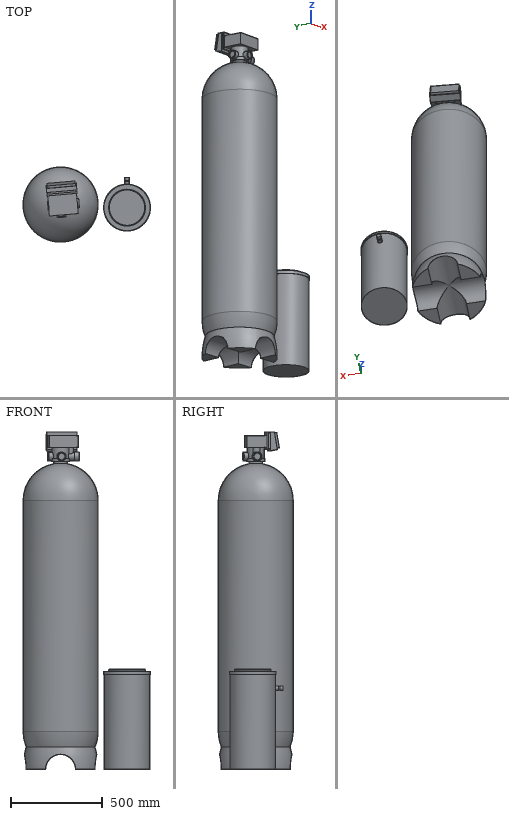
import cadquery as cq
import math

TANK_RADIUS = 205.2
SKIRT_TOP_RADIUS = 188.0
SKIRT_HEIGHT = 121.0
BARREL_BOTTOM = 206.0
BARREL_TOP = 1465.0
ARCH_RADIUS = 81.0

NECK_DIAMETER = 75.0
RING_DIAMETER = 100.0
VALVE_DIAMETER = 94.0
RING_BOTTOM = 1679.0
RING_TOP = 1695.0

HEAD_TURN = 5.0

PORT_HEIGHT = 1706.0
COLLAR_DIAMETER = 52.0
PORT_PIPE_DIAMETER = 48.0
PORT_BORE_DIAMETER = 37.0
PORT_BORE_DEPTH = 5.0
LEFT_PORT_REACH = 70.0
FRONT_PORT_REACH = 70.0
RIGHT_PORT_REACH = 101.0
RIGHT_COLLAR_LENGTH = 28.0
PLUG_DIAMETER = 39.0
PLUG_OFFSET = 52.0

HEAD_CENTRE_X = 13.0
BOX_WIDTH = 158.0
BOX_FRONT = -57.0
BOX_BACK = 53.0
BOX_BOTTOM = 1756.0
BOX_TOP = 1820.0

TOTAL_HEIGHT = 1840.0
PANEL_WIDTH = 165.0
PLATE_THICKNESS = 10.0
PLATE_BOTTOM = 1745.0
GROOVE_WIDTH = 10.0
GROOVE_DEPTH = 5.0
HOUSING_BOTTOM = 1735.0
HOUSING_DEPTH_TOP = 22.0
HOUSING_DEPTH_BOTTOM = 39.0
HOUSING_LIP_BOTTOM = 1743.0
BEZEL_THICKNESS = 13.0
BEZEL_INSET = 5.0
BEZEL_LENGTH = 85.0

BRINE_X = 363.0
BRINE_Y = -17.0
BRINE_DIAMETER = 250.0
LID_DIAMETER = 255.0
LID_DISC_DIAMETER = 200.0
LID_BOTTOM = 517.0
LID_TOP = 534.0
LID_DISC_TOP = 547.0
LID_DISC_CHAMFER = 4.0
FITTING_HEIGHT = 442.0
FITTING_REACH = 165.0
FITTING_NUT_DIAMETER = 25.0
FITTING_NUT_LENGTH = 17.0
TUBE_DIAMETER = 20.0


def inward_arc_midpoint(outer_radius, end_radius, start_z, end_z):
    """Midpoint of an arc that leaves a vertical wall tangentially and leans in to end_radius."""
    rise = end_z - start_z
    lean = outer_radius - end_radius
    arc_radius = (rise**2 + lean**2) / (2 * lean)
    half_angle = math.asin(abs(rise) / arc_radius) / 2
    middle_radius = outer_radius - arc_radius * (1 - math.cos(half_angle))
    middle_z = start_z + math.copysign(arc_radius * math.sin(half_angle), rise)
    return middle_radius, middle_z


def cylinder_between(start, direction, diameter, length):
    return cq.Workplane(cq.Solid.makeCylinder(diameter / 2, length, cq.Vector(*start), cq.Vector(*direction)))


def make_pressure_tank():
    skirt_middle = inward_arc_midpoint(TANK_RADIUS, SKIRT_TOP_RADIUS, 0, SKIRT_HEIGHT)
    bowl_middle = inward_arc_midpoint(TANK_RADIUS, SKIRT_TOP_RADIUS, BARREL_BOTTOM, SKIRT_HEIGHT)
    dome_step = TANK_RADIUS * math.sin(math.radians(45))
    tank = (
        cq.Workplane("XZ")
        .lineTo(TANK_RADIUS, 0)
        .threePointArc(skirt_middle, (SKIRT_TOP_RADIUS, SKIRT_HEIGHT))
        .threePointArc(bowl_middle, (TANK_RADIUS, BARREL_BOTTOM))
        .lineTo(TANK_RADIUS, BARREL_TOP)
        .threePointArc((dome_step, BARREL_TOP + dome_step), (0, BARREL_TOP + TANK_RADIUS))
        .close()
        .revolve(360, (0, 0, 0), (0, 1, 0))
    )
    for direction in [(1, 0, 0), (0, 1, 0)]:
        start = [-2 * TANK_RADIUS * component for component in direction]
        tank = tank.cut(cylinder_between(start, direction, 2 * ARCH_RADIUS, 4 * TANK_RADIUS))
    return tank


def make_valve_body():
    neck = cylinder_between((0, 0, BARREL_TOP), (0, 0, 1), NECK_DIAMETER, RING_TOP - BARREL_TOP)
    ring = cylinder_between((0, 0, RING_BOTTOM), (0, 0, 1), RING_DIAMETER, RING_TOP - RING_BOTTOM)
    body = cylinder_between((0, 0, RING_BOTTOM), (0, 0, 1), VALVE_DIAMETER, BOX_BOTTOM - RING_BOTTOM)
    return neck.union(ring).union(body)


def add_port(valve, direction, reach, collar_length=0):
    """Port from the valve axis: a pipe with a shallow bore, and a wider collar at its end if asked for."""
    def along(distance):
        return distance * direction[0], distance * direction[1], PORT_HEIGHT

    valve = valve.union(cylinder_between(along(0), direction, PORT_PIPE_DIAMETER, reach))
    if collar_length:
        collar_start = along(reach - collar_length)
        valve = valve.union(cylinder_between(collar_start, direction, COLLAR_DIAMETER, collar_length))
    bore_start = along(reach - PORT_BORE_DEPTH)
    return valve.cut(cylinder_between(bore_start, direction, PORT_BORE_DIAMETER, PORT_BORE_DEPTH))


def make_control_box():
    return cq.Workplane("XY").box(
        BOX_WIDTH, BOX_BACK - BOX_FRONT, BOX_TOP - BOX_BOTTOM, centered=(True, False, False)
    ).translate((HEAD_CENTRE_X, BOX_FRONT, BOX_BOTTOM))


def extrude_across_head(outline, width):
    """Extrude a closed (Y, Z) outline along X, centred on the head."""
    start_x = HEAD_CENTRE_X - width / 2
    return cq.Workplane("YZ", origin=(start_x, 0, 0)).polyline(outline).close().extrude(width)


def make_display_housing():
    groove_y = BOX_BACK + PLATE_THICKNESS
    housing_y = groove_y + GROOVE_WIDTH
    face_top = (housing_y + HOUSING_DEPTH_TOP, TOTAL_HEIGHT)
    face_bottom = (housing_y + HOUSING_DEPTH_BOTTOM, HOUSING_LIP_BOTTOM)
    plate = extrude_across_head(
        [(BOX_BACK, PLATE_BOTTOM), (groove_y, PLATE_BOTTOM), (groove_y, TOTAL_HEIGHT), (BOX_BACK, TOTAL_HEIGHT)],
        PANEL_WIDTH,
    )
    neck_bottom = PLATE_BOTTOM + GROOVE_DEPTH
    neck_top = TOTAL_HEIGHT - GROOVE_DEPTH
    neck = extrude_across_head(
        [(groove_y, neck_bottom), (housing_y, neck_bottom), (housing_y, neck_top), (groove_y, neck_top)],
        PANEL_WIDTH - 2 * GROOVE_DEPTH,
    )
    housing = extrude_across_head(
        [(housing_y, HOUSING_BOTTOM), face_bottom, face_top, (housing_y, TOTAL_HEIGHT)], PANEL_WIDTH
    )

    slope_length = math.dist(face_top, face_bottom)
    down = ((face_bottom[0] - face_top[0]) / slope_length, (face_bottom[1] - face_top[1]) / slope_length)
    outward = (-down[1], down[0])

    def on_slope(distance_down, distance_out):
        return (
            face_top[0] + down[0] * distance_down + outward[0] * distance_out,
            face_top[1] + down[1] * distance_down + outward[1] * distance_out,
        )

    bezel_end = BEZEL_INSET + BEZEL_LENGTH
    bezel = extrude_across_head(
        [
            on_slope(BEZEL_INSET, 0),
            on_slope(BEZEL_INSET, BEZEL_THICKNESS),
            on_slope(bezel_end, BEZEL_THICKNESS),
            on_slope(bezel_end, 0),
        ],
        PANEL_WIDTH - 2 * BEZEL_INSET,
    )
    return plate.union(neck).union(housing).union(bezel)


def make_valve_head():
    head = make_valve_body()
    head = add_port(head, (-1, 0), LEFT_PORT_REACH)
    head = add_port(head, (0, -1), FRONT_PORT_REACH)
    head = add_port(head, (1, 0), RIGHT_PORT_REACH, RIGHT_COLLAR_LENGTH)
    plug = cylinder_between((PLUG_OFFSET, 0, PORT_HEIGHT), (0, 0, 1), PLUG_DIAMETER, BOX_BOTTOM - PORT_HEIGHT)
    head = head.union(plug).union(make_control_box()).union(make_display_housing())
    return head.rotate((0, 0, 0), (0, 0, 1), HEAD_TURN)


def make_fitting():
    """Hose fitting on the +Y side of the brine tank: a tube with a nut at the wall and one at its end."""
    outward = (0, 1, 0)
    fitting = cylinder_between((0, 0, FITTING_HEIGHT), outward, TUBE_DIAMETER, FITTING_REACH)
    wall_nut_end = BRINE_DIAMETER / 2 + FITTING_NUT_LENGTH
    for nut_end in [wall_nut_end, FITTING_REACH]:
        nut_start = (0, nut_end - FITTING_NUT_LENGTH, FITTING_HEIGHT)
        fitting = fitting.union(cylinder_between(nut_start, outward, FITTING_NUT_DIAMETER, FITTING_NUT_LENGTH))
    return fitting


def make_brine_tank():
    tank = cq.Workplane("XY").circle(BRINE_DIAMETER / 2).extrude(LID_BOTTOM)
    lid = cq.Workplane("XY", origin=(0, 0, LID_BOTTOM)).circle(LID_DIAMETER / 2).extrude(LID_TOP - LID_BOTTOM)
    disc = (
        cq.Workplane("XY", origin=(0, 0, LID_TOP))
        .circle(LID_DISC_DIAMETER / 2)
        .extrude(LID_DISC_TOP - LID_TOP)
        .faces(">Z")
        .chamfer(LID_DISC_CHAMFER)
    )
    return tank.union(lid).union(disc).union(make_fitting()).translate((BRINE_X, BRINE_Y, 0))


softener = make_pressure_tank().union(make_valve_head())
brine_tank = make_brine_tank()

result = cq.Compound.makeCompound([softener.val(), brine_tank.val()])